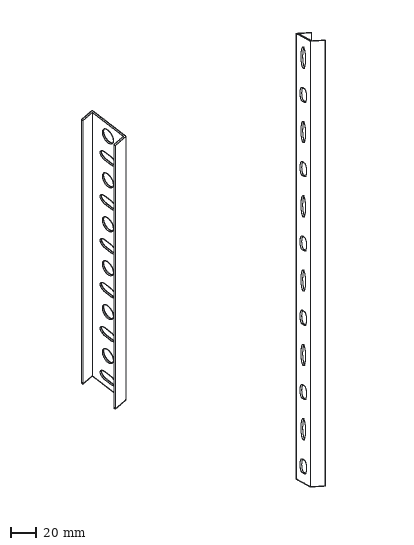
import cadquery as cq

width = 37.0
depth = 12.52
length = 360.0
thickness = 1.5

hole_pitch = 30.0
hole_length = 17.0
ellipse_width = 12.0
slot_width = 11.0
hole_pair_count = 6
first_hole_height = 13.5


def make_channel():
    """Sharp-cornered U channel along Z, web on the +Y side, flanges reaching toward -Y."""
    outer = cq.Workplane("XY").rect(width, depth).extrude(length)
    inner = (
        cq.Workplane("XY")
        .center(0, -thickness)
        .rect(width - 2 * thickness, depth)
        .extrude(length)
    )
    return outer.cut(inner)


def start_hole_sketch(heights):
    """Workplane across the channel with a point on the web centreline at each height."""
    return cq.Workplane("XZ").pushPoints([(0, height) for height in heights])


def make_slots(heights):
    """Round-ended cutters lying across the web."""
    return start_hole_sketch(heights).slot2D(hole_length, slot_width).extrude(depth, both=True)


def make_ellipses(heights):
    """Elliptical cutters with the long axis along the channel."""
    sketch = start_hole_sketch(heights).ellipse(ellipse_width / 2, hole_length / 2)
    return sketch.extrude(depth, both=True)


pair_pitch = 2 * hole_pitch
slot_heights = [first_hole_height + i * pair_pitch for i in range(hole_pair_count)]
ellipse_heights = [height + hole_pitch for height in slot_heights]

result = make_channel().cut(make_slots(slot_heights)).cut(make_ellipses(ellipse_heights))